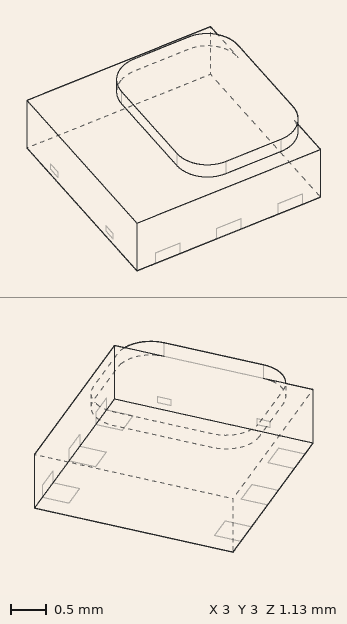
import cadquery as cq

body_side = 3.0
body_height = 0.9
half_side = body_side / 2

cap_length_x = 2.5
cap_length_y = 1.9
total_height = 1.13
cap_height = total_height - body_height
cap_corner_radius = 0.5

terminal_width = 0.4
terminal_height = 0.2
terminal_depth = 0.4
terminal_pitch = 1.0
terminals_per_side = 3

tie_bar_width = 0.2
tie_bar_bottom = 0.1
tie_bar_height = terminal_height - tie_bar_bottom
tie_bar_depth = 0.2
tie_bar_pitch = 1.5


def block(length_x, length_y, height, center_x, center_y, bottom):
    """Rectangular block located by the centre of its bottom face."""
    return (
        cq.Workplane("XY")
        .box(length_x, length_y, height, centered=(True, True, False))
        .translate((center_x, center_y, bottom))
    )


def make_cap():
    """Plate with rounded vertical corners on top of the body."""
    center_y = half_side - cap_length_y / 2
    plate = block(cap_length_x, cap_length_y, cap_height, 0, center_y, body_height)
    return plate.edges("|Z").fillet(cap_corner_radius)


def make_terminals():
    """Three evenly spaced terminals on each of the two X sides."""
    center_x = half_side - terminal_depth / 2
    first_y = -terminal_pitch * (terminals_per_side - 1) / 2
    terminals = []
    for side in (-1, 1):
        for index in range(terminals_per_side):
            center_y = first_y + index * terminal_pitch
            terminals.append(
                block(terminal_depth, terminal_width, terminal_height, side * center_x, center_y, 0)
            )
    return terminals


def make_tie_bars():
    """Two tie bar ends on each of the two Y sides."""
    center_x = tie_bar_pitch / 2
    center_y = half_side - tie_bar_depth / 2
    tie_bars = []
    for side_x in (-1, 1):
        for side_y in (-1, 1):
            tie_bars.append(
                block(
                    tie_bar_width,
                    tie_bar_depth,
                    tie_bar_height,
                    side_x * center_x,
                    side_y * center_y,
                    tie_bar_bottom,
                )
            )
    return tie_bars


package = block(body_side, body_side, body_height, 0, 0, 0).union(make_cap(), clean=False)

for insert in make_terminals() + make_tie_bars():
    package = package.union(insert, clean=False)

result = package.solids()